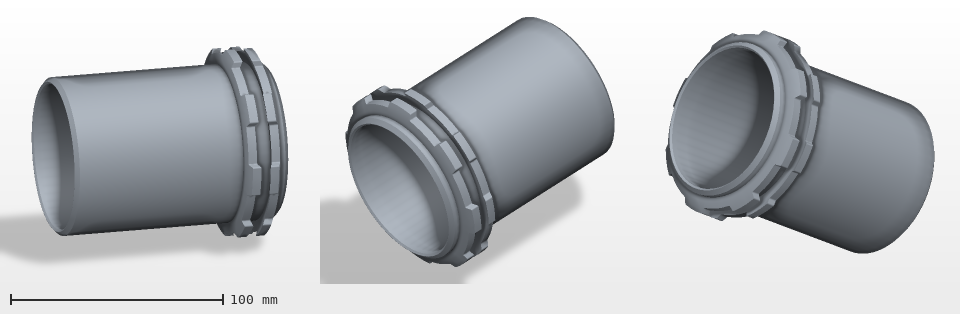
import cadquery as cq
import math

TUBE_LENGTH = 105.0
TUBE_DIAMETER = 75.2
BORE_DIAMETER = 69.2
OUTER_CHAMFER = 2.0
INNER_CHAMFER = 0.8

RING_THICKNESS = 4.2
DISH_RADIUS = 17.8
RING_BORE_DIAMETER = 73.6
RING_SETBACK = 5.0
RING_PAIR_WIDTH = 17.6
ROOT_RADIUS = 42.8
TIP_RADIUS = 45.7

TOOTH_COUNT = 8
FIRST_TOOTH_ANGLE = -9.0
TOOTH_ROOT_WIDTH = 15.5
TOOTH_TIP_WIDTH = 14.5
CORNER_FILLET = 0.7
RIM_OVERSHOOT = 1.0

TUBE_RADIUS = TUBE_DIAMETER / 2
RING_BORE_RADIUS = RING_BORE_DIAMETER / 2
RING_MIDDLE_Y = TUBE_LENGTH - RING_SETBACK - RING_PAIR_WIDTH / 2


def make_tube():
    """Tube with both ends chamfered outside and inside."""
    tube = cq.Workplane("XZ").circle(TUBE_RADIUS).extrude(-TUBE_LENGTH)
    tube = tube.faces("<Y or >Y").chamfer(OUTER_CHAMFER)
    bore = cq.Workplane("XZ").circle(BORE_DIAMETER / 2).extrude(-TUBE_LENGTH)
    tube = tube.cut(bore)
    bore_edges = cq.selectors.RadiusNthSelector(0)
    return tube.edges(bore_edges).chamfer(INNER_CHAMFER)


def make_toothed_blank(length):
    """Straight toothed prism along Y, from y = 0 to y = length."""
    half_root = TOOTH_ROOT_WIDTH / 2
    half_tip = TOOTH_TIP_WIDTH / 2
    root_height = math.sqrt(ROOT_RADIUS**2 - half_root**2)
    tip_height = math.sqrt(TIP_RADIUS**2 - half_tip**2)
    tooth = (
        cq.Workplane("XZ")
        .moveTo(RING_BORE_RADIUS, -half_root)
        .lineTo(root_height, -half_root)
        .lineTo(tip_height, -half_tip)
        .threePointArc((TIP_RADIUS, 0), (tip_height, half_tip))
        .lineTo(root_height, half_root)
        .lineTo(RING_BORE_RADIUS, half_root)
        .close()
        .extrude(-length)
    )
    blank = cq.Workplane("XZ").circle(ROOT_RADIUS).extrude(-length)
    pitch = 360 / TOOTH_COUNT
    for index in range(TOOTH_COUNT):
        angle = -(FIRST_TOOTH_ANGLE + index * pitch)
        blank = blank.union(tooth.rotate((0, 0, 0), (0, 1, 0), angle))
    return blank.edges("|Y").fillet(CORNER_FILLET)


def make_dished_washer(crown_y):
    """Washer of curved section, crown at y = crown_y, rim bent towards -Y."""
    reach = TIP_RADIUS - RING_BORE_RADIUS + RIM_OVERSHOOT
    mid_reach = reach / 2

    def drop(distance):
        return DISH_RADIUS - math.sqrt(DISH_RADIUS**2 - distance**2)

    inner_y = crown_y - RING_THICKNESS
    return (
        cq.Workplane("XY")
        .moveTo(RING_BORE_RADIUS, crown_y)
        .threePointArc(
            (RING_BORE_RADIUS + mid_reach, crown_y - drop(mid_reach)),
            (RING_BORE_RADIUS + reach, crown_y - drop(reach)),
        )
        .lineTo(RING_BORE_RADIUS + reach, inner_y - drop(reach))
        .threePointArc(
            (RING_BORE_RADIUS + mid_reach, inner_y - drop(mid_reach)),
            (RING_BORE_RADIUS, inner_y),
        )
        .close()
        .revolve(360, (0, 0, 0), (0, 1, 0))
    )


def make_ring():
    """Toothed ring for the +Y half of the pair, with the middle of the pair at y = 0."""
    crown_y = RING_PAIR_WIDTH / 2
    return make_dished_washer(crown_y).intersect(make_toothed_blank(crown_y))


end_ring = make_ring()
rings = [
    ring.translate((0, RING_MIDDLE_Y, 0))
    for ring in (end_ring, end_ring.mirror("XZ"))
]

tube = make_tube()
for ring in rings:
    tube = tube.cut(ring)

result = cq.Compound.makeCompound(
    [tube.solids().val(), *[ring.solids().val() for ring in rings]]
)